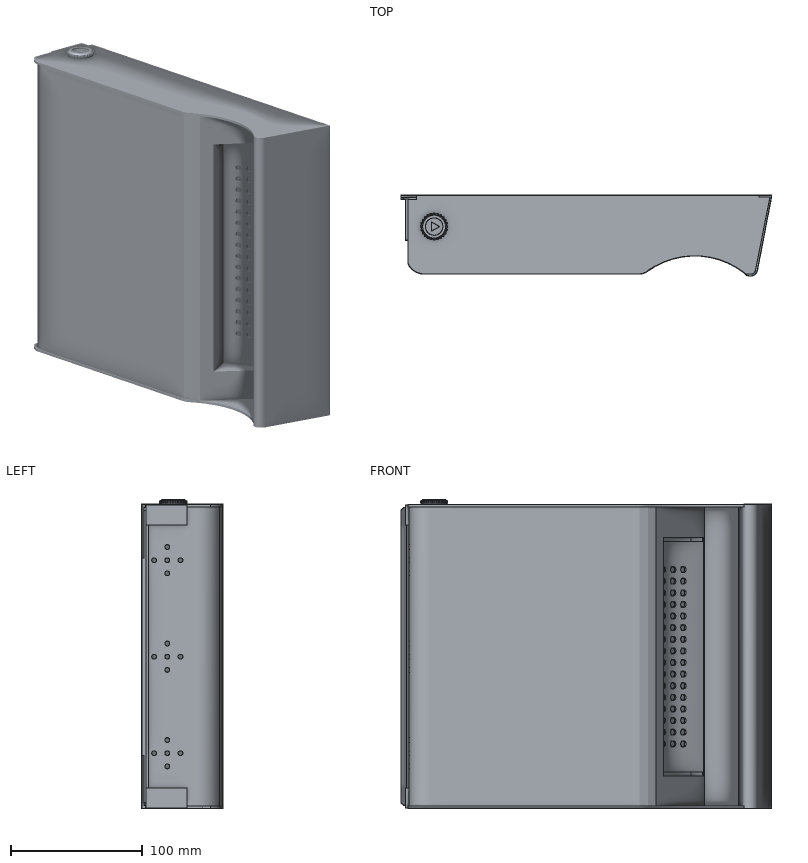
import cadquery as cq
import math

HOUSING_HEIGHT = 231.0
MID_HEIGHT = 115.3
OVERALL_WIDTH = 281.33
OVERALL_DEPTH = 61.49
OVERALL_HEIGHT = 234.52

PLATE_THICKNESS = 1.8
PLATE_SETBACK = 0.2
PLATE_LEFT = 5.4
PLATE_FRONT = -60.0
CORNER_RADIUS = 14.0
CORNER_OVERHANG = 1.4
SCOOP_RADIUS = 61.0
SCOOP_CENTER_X = 223.0
SCOOP_CREST_Y = -46.2
SCOOP_BLEND_RADIUS = 12.0
PLATE_BACK_END_X = 271.5
PLATE_TIP_RADIUS = 3.5

BODY_INSET = 1.0
BODY_CORNER_RADIUS = 15.2
BACK_THICKNESS = 1.5
RAMP_TOP = (193.4, -53.5)
RAMP_FOOT_X = 230.2
BODY_EDGE_X = 181.3
BODY_BEND_X = 187.6
BODY_BEND_DROP = 1.9

LIP_TIP_X = 269.7
LIP_BACK_INNER_X = 256.0
LIP_FRONT_INNER_X = 259.8
LIP_RADIUS = 5.5
LIP_OVERLAP = 1.0
LIP_SKIN = 1.3
LIP_BACK_SQUARE = 1.0

GRILLE_TILT = 29.0
GRILLE_EDGE_X = 199.4
GRILLE_FOOT = (229.6, -2.2)
GRILLE_HEIGHT = 181.2
GRILLE_LEDGE = 3.1
GRILLE_LEDGE_RISE = 1.0
GRILLE_LEDGE_STEP_X = 220.0
GRILLE_LEDGE_END_X = 228.8
GRILLE_ROWS = 16
GRILLE_PITCH = 8.81
GRILLE_LAST_COLUMN_X = 214.3
GRILLE_COLUMNS = 3
GRILLE_HOLE_DIAMETER = 4.6
GRILLE_HOLE_DEPTH = 2.0

CLUSTER_Y = -19.4
CLUSTER_PITCH = 73.2
CLUSTER_HOLE_OFFSET = 10.0
CLUSTER_HOLE_DIAMETER = 3.6
CLUSTER_HOLE_DEPTH = 3.0

FLANGE_WIDTH = 12.1
FLANGE_END_GAP = 2.5
FLANGE_CHAMFER = 2.2
FLANGE_FRONT = -3.3
FLANGE_BACK = -1.7
FLANGE_CENTER_HEIGHT = 150.0
EDGE_STRIP_LEFT = 4.5
EDGE_STRIP_FRONT = -5.0
TAB_LEFT = 3.4
TAB_BACK = -3.0
TAB_FRONT = -34.3
TAB_HEIGHT = 15.2
TAB_END_GAP = 0.5

BUTTON_X = 25.3
BUTTON_Y = -23.9
BUTTON_BODY_RADIUS = 9.6
BUTTON_FACE_RADIUS = 6.6
BUTTON_FACE_DEPTH = 1.0
BUTTON_CHAMFER = 0.9
BUTTON_TEETH = 24
BUTTON_TOOTH_RADIUS = 0.7
BUTTON_TOOTH_HEIGHT = 1.4
ARROW_CIRCLE_DIAMETER = 8.0
ARROW_HEIGHT = 0.5


def box(x0, x1, y0, y1, z0, z1):
    """Box between opposite corner coordinates."""
    return cq.Workplane("XY").box(x1 - x0, y1 - y0, z1 - z0, False).translate((x0, y0, z0))


def prism(profile, z0, z1):
    """Extrude a closed XY profile between two heights."""
    return profile.extrude(z1 - z0).translate((0, 0, z0))


def vertical_edge(solid, x, y):
    """Select the vertical edge of a solid that is nearest to (x, y)."""
    mid_z = solid.val().Center().z
    return solid.edges("|Z").edges(cq.selectors.NearestToPointSelector((x, y, mid_z)))


def corner_arc_point(center, radius, angle):
    """Point on a front left corner circle, at an angle measured from -X towards -Y."""
    return (center[0] - radius * math.cos(angle), center[1] - radius * math.sin(angle))


def end_plate():
    """Flat plate with the full housing outline and the concave hand scoop."""
    half_chord = math.sqrt(SCOOP_RADIUS ** 2 - (PLATE_FRONT - SCOOP_CREST_Y + SCOOP_RADIUS) ** 2)
    scoop_start = SCOOP_CENTER_X - half_chord
    scoop_end = SCOOP_CENTER_X + half_chord
    lip_tip = (LIP_TIP_X - LIP_SKIN, PLATE_FRONT)
    center = (PLATE_LEFT - CORNER_OVERHANG + CORNER_RADIUS, PLATE_FRONT + CORNER_RADIUS)
    start_angle = math.acos((center[0] - PLATE_LEFT) / CORNER_RADIUS)
    mid_angle = (start_angle + math.pi / 2) / 2
    plate = (
        cq.Workplane("XY")
        .moveTo(PLATE_LEFT, 0)
        .lineTo(*corner_arc_point(center, CORNER_RADIUS, start_angle))
        .threePointArc(
            corner_arc_point(center, CORNER_RADIUS, mid_angle), (center[0], PLATE_FRONT)
        )
        .lineTo(scoop_start, PLATE_FRONT)
        .threePointArc((SCOOP_CENTER_X, SCOOP_CREST_Y), (scoop_end, PLATE_FRONT))
        .lineTo(*lip_tip)
        .lineTo(OVERALL_WIDTH - LIP_SKIN, -LIP_SKIN)
        .lineTo(PLATE_BACK_END_X, -LIP_SKIN)
        .lineTo(PLATE_BACK_END_X, 0)
        .close()
        .extrude(PLATE_THICKNESS)
    )
    plate = vertical_edge(plate, scoop_start, PLATE_FRONT).fillet(SCOOP_BLEND_RADIUS)
    return vertical_edge(plate, *lip_tip).fillet(PLATE_TIP_RADIUS)


def body():
    """Main block with the ramp that falls from the front face to the thin back wall."""
    left = PLATE_LEFT + BODY_INSET
    front = PLATE_FRONT + BODY_INSET
    radius = BODY_CORNER_RADIUS
    center = (left + radius, front + radius)
    outline = (
        cq.Workplane("XY")
        .moveTo(left, 0)
        .lineTo(left, center[1])
        .threePointArc(corner_arc_point(center, radius, math.pi / 4), (center[0], front))
        .lineTo(BODY_EDGE_X, front)
        .lineTo(BODY_BEND_X, front + BODY_BEND_DROP)
        .lineTo(*RAMP_TOP)
        .lineTo(RAMP_FOOT_X, -BACK_THICKNESS)
        .lineTo(LIP_BACK_INNER_X + LIP_OVERLAP, -BACK_THICKNESS)
        .lineTo(LIP_BACK_INNER_X + LIP_OVERLAP, 0)
        .close()
    )
    return prism(outline, PLATE_SETBACK, HOUSING_HEIGHT - PLATE_SETBACK)


def lip():
    """Right-hand wall with a sloping outer face and a rounded front edge."""
    profile = [
        (LIP_BACK_INNER_X, 0),
        (OVERALL_WIDTH, 0),
        (OVERALL_WIDTH, -LIP_BACK_SQUARE),
        (LIP_TIP_X, -OVERALL_DEPTH),
        (LIP_FRONT_INNER_X, -OVERALL_DEPTH),
    ]
    outline = cq.Workplane("XY").polyline(profile).close()
    solid = prism(outline, 0, HOUSING_HEIGHT)
    solid = vertical_edge(solid, LIP_TIP_X, -OVERALL_DEPTH).fillet(LIP_RADIUS)
    return vertical_edge(solid, LIP_FRONT_INNER_X, -OVERALL_DEPTH).fillet(LIP_RADIUS)


def grille_plane_y(x):
    """Depth of the perforated face at a given X."""
    foot_x, foot_y = GRILLE_FOOT
    return foot_y - (foot_x - x) * math.tan(math.radians(GRILLE_TILT))


def ramp_y(x):
    """Depth of the ramp face at a given X."""
    top_x, top_y = RAMP_TOP
    return top_y + (x - top_x) * (-BACK_THICKNESS - top_y) / (RAMP_FOOT_X - top_x)


def grille_recess():
    """Volume removed from the ramp: a wedge whose floor is the perforated face."""
    tilt = math.radians(GRILLE_TILT)
    edge_y = ramp_y(GRILLE_EDGE_X)
    depth = (grille_plane_y(GRILLE_EDGE_X) - edge_y) * math.cos(tilt)
    inner_corner = (GRILLE_EDGE_X - depth * math.sin(tilt), edge_y + depth * math.cos(tilt))
    outline = (
        cq.Workplane("XY")
        .polyline([(GRILLE_EDGE_X, edge_y), inner_corner, GRILLE_FOOT, (GRILLE_FOOT[0], edge_y)])
        .close()
    )
    half = GRILLE_HEIGHT / 2
    return prism(outline, MID_HEIGHT - half, MID_HEIGHT + half)


def grille_ledges():
    """Stepped strips along the upper and lower ends of the perforated face."""
    ledge_left = GRILLE_EDGE_X
    outline = (
        cq.Workplane("XY")
        .polyline([
            (ledge_left, grille_plane_y(ledge_left) - GRILLE_LEDGE_RISE),
            (GRILLE_LEDGE_STEP_X, grille_plane_y(GRILLE_LEDGE_STEP_X) - GRILLE_LEDGE_RISE),
            (GRILLE_LEDGE_STEP_X, grille_plane_y(GRILLE_LEDGE_STEP_X) - GRILLE_LEDGE_RISE / 2),
            (GRILLE_LEDGE_END_X, grille_plane_y(GRILLE_LEDGE_END_X) - GRILLE_LEDGE_RISE / 2),
            (GRILLE_LEDGE_END_X, grille_plane_y(GRILLE_LEDGE_END_X)),
            (ledge_left, grille_plane_y(ledge_left)),
        ])
        .close()
    )
    half = GRILLE_HEIGHT / 2
    lower = prism(outline, MID_HEIGHT - half, MID_HEIGHT - half + GRILLE_LEDGE)
    upper = lower.translate((0, 0, GRILLE_HEIGHT - GRILLE_LEDGE))
    return lower.union(upper)


def grille_holes():
    """Blind holes drilled square to the perforated face."""
    tilt = math.radians(GRILLE_TILT)
    inward = cq.Vector(-math.sin(tilt), math.cos(tilt), 0)
    first_z = MID_HEIGHT - GRILLE_PITCH * (GRILLE_ROWS - 1) / 2
    holes = []
    for column in range(GRILLE_COLUMNS):
        x = GRILLE_LAST_COLUMN_X - column * GRILLE_PITCH * math.cos(tilt)
        for row in range(GRILLE_ROWS):
            center = cq.Vector(x, grille_plane_y(x), first_z + row * GRILLE_PITCH)
            hole = cq.Solid.makeCylinder(GRILLE_HOLE_DIAMETER / 2, GRILLE_HOLE_DEPTH, center, inward)
            holes.append(hole)
    return cq.Workplane(cq.Compound.makeCompound(holes))


def left_wall_holes():
    """Three crosses of five blind holes in the left wall."""
    offset = CLUSTER_HOLE_OFFSET
    cross = [(0, 0), (offset, 0), (-offset, 0), (0, offset), (0, -offset)]
    holes = []
    for cluster in (-1, 0, 1):
        cluster_z = MID_HEIGHT + cluster * CLUSTER_PITCH
        for dy, dz in cross:
            center = cq.Vector(PLATE_LEFT + BODY_INSET, CLUSTER_Y + dy, cluster_z + dz)
            hole = cq.Solid.makeCylinder(
                CLUSTER_HOLE_DIAMETER / 2, CLUSTER_HOLE_DEPTH, center, cq.Vector(1, 0, 0)
            )
            holes.append(hole)
    return cq.Workplane(cq.Compound.makeCompound(holes))


def mounting_flange():
    """Flange at the back left, thickened backwards along the middle of its height."""
    top = HOUSING_HEIGHT - FLANGE_END_GAP
    flange = box(0, FLANGE_WIDTH, FLANGE_FRONT, FLANGE_BACK, FLANGE_END_GAP, top)
    flange = flange.edges("|Y and <X").chamfer(FLANGE_CHAMFER)
    half = FLANGE_CENTER_HEIGHT / 2
    pad = box(0, FLANGE_WIDTH, FLANGE_FRONT, 0, MID_HEIGHT - half, MID_HEIGHT + half)
    return flange.union(pad)


def flange_clearance():
    """Space at the back left that leaves the flange and its ends exposed."""
    lower = box(0, FLANGE_WIDTH, FLANGE_FRONT, 0, 0, FLANGE_END_GAP)
    upper = lower.translate((0, 0, HOUSING_HEIGHT - FLANGE_END_GAP))
    behind = box(0, FLANGE_WIDTH, FLANGE_BACK, 0, 0, HOUSING_HEIGHT)
    return lower.union(upper).union(behind)


def edge_strip():
    """Narrow step along the left wall in front of the flange."""
    right = PLATE_LEFT + BODY_INSET
    top = HOUSING_HEIGHT - FLANGE_END_GAP
    return box(EDGE_STRIP_LEFT, right, EDGE_STRIP_FRONT, FLANGE_FRONT, FLANGE_END_GAP, top)


def side_tabs():
    """Thin tabs on the left wall at the top and bottom corners."""
    right = PLATE_LEFT + BODY_INSET
    lower_top = TAB_END_GAP + TAB_HEIGHT
    lower = box(TAB_LEFT, right, TAB_FRONT, TAB_BACK, TAB_END_GAP, lower_top)
    upper = lower.translate((0, 0, HOUSING_HEIGHT - lower_top - TAB_END_GAP))
    return lower.union(upper)


def button():
    """Disc with a toothed rim and a sunken face that carries a raised arrow."""
    base_z = HOUSING_HEIGHT - PLATE_SETBACK
    height = OVERALL_HEIGHT - base_z
    disc = cq.Workplane("XY").circle(BUTTON_BODY_RADIUS).extrude(height)
    disc = disc.faces(">Z").edges().chamfer(BUTTON_CHAMFER)
    teeth = (
        cq.Workplane("XY")
        .workplane(offset=(height - BUTTON_TOOTH_HEIGHT) / 2)
        .polarArray(BUTTON_BODY_RADIUS, 0, 360, BUTTON_TEETH)
        .circle(BUTTON_TOOTH_RADIUS)
        .extrude(BUTTON_TOOTH_HEIGHT)
    )
    face_z = height - BUTTON_FACE_DEPTH
    face = cq.Workplane("XY").workplane(offset=face_z).circle(BUTTON_FACE_RADIUS)
    arrow = cq.Workplane("XY").workplane(offset=face_z).polygon(3, ARROW_CIRCLE_DIAMETER)
    disc = disc.union(teeth).cut(face.extrude(BUTTON_FACE_DEPTH)).union(arrow.extrude(ARROW_HEIGHT))
    return disc.translate((BUTTON_X, BUTTON_Y, base_z))


plate = end_plate()
lower_plate = plate.translate((0, 0, PLATE_SETBACK))
upper_plate = plate.translate((0, 0, HOUSING_HEIGHT - PLATE_SETBACK - PLATE_THICKNESS))
lower_seat = plate.translate((0, 0, PLATE_SETBACK - PLATE_THICKNESS))
upper_seat = plate.translate((0, 0, HOUSING_HEIGHT - PLATE_SETBACK))
seated_lip = lip().cut(lower_seat).cut(upper_seat)

housing = body().cut(grille_recess()).union(grille_ledges())
housing = housing.cut(grille_holes()).cut(left_wall_holes())
housing = housing.union(seated_lip).union(lower_plate).union(upper_plate)
housing = housing.cut(flange_clearance())
result = (
    housing.union(mounting_flange())
    .union(edge_strip())
    .union(side_tabs())
    .union(button())
)